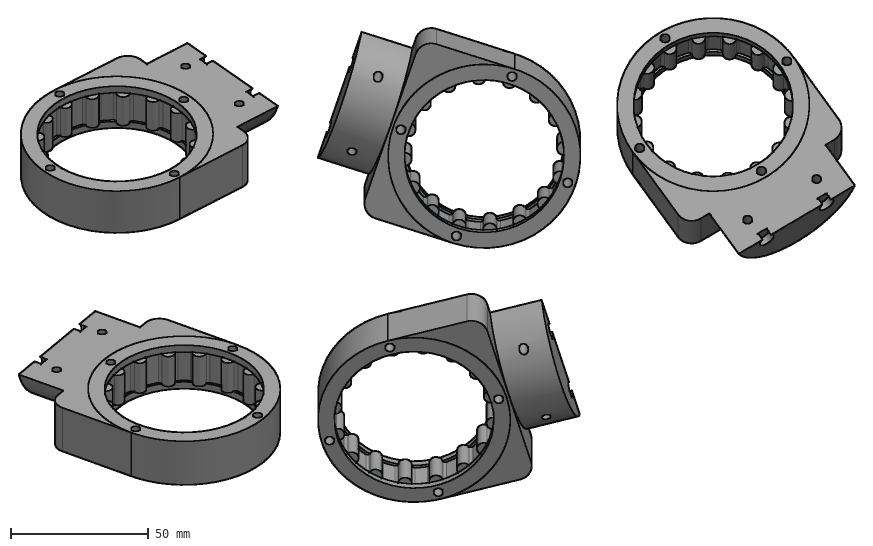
import cadquery as cq
import math

height = 19.0
ring_radius = 35.0

bore_radius = 29.0
groove_radius = 30.0
rim_height = 3.0
tooth_count = 16
tooth_radius = 2.5
tooth_root_fillet = 1.0
ring_hole_count = 4
ring_hole_diameter = 3.4
ring_hole_circle_radius = 32.0

block_width = 70.01
block_back_y = 36.0
block_corner_radius = 6.0

tab_back_y = 55.5
tab_radius = 26.5
tab_axis_above_top = 7.9
tab_axis_z = height + tab_axis_above_top

tab_hole_diameter = 3.3
tab_hole_spacing = 30.0
tab_hole_y = (block_back_y + tab_back_y) / 2
pocket_diameter = 6.0
pocket_depth = 3.0
pocket_spacing = 26.0
pocket_opening_width = 3.6
pocket_axis_drop = math.sqrt((pocket_diameter / 2) ** 2 - (pocket_opening_width / 2) ** 2)


def make_toothed_opening():
    """Space inside the ring between its two rims, with round teeth left standing."""
    tooth_height = height - 2 * rim_height
    opening = cq.Workplane("XY").workplane(offset=rim_height).circle(groove_radius).extrude(tooth_height)
    teeth = (
        cq.Workplane("XY")
        .workplane(offset=rim_height)
        .polarArray(bore_radius, 0, 360, tooth_count)
        .circle(tooth_radius)
        .extrude(tooth_height)
    )
    return opening.cut(teeth).edges("|Z").fillet(tooth_root_fillet)


def make_ring():
    """Ring with a plain rim at each end and a toothed groove between them."""
    rim = cq.Workplane("XY").circle(ring_radius).circle(bore_radius).extrude(rim_height)
    middle = (
        cq.Workplane("XY")
        .workplane(offset=rim_height)
        .circle(ring_radius)
        .extrude(height - 2 * rim_height)
        .cut(make_toothed_opening())
    )
    screw_holes = (
        cq.Workplane("XY")
        .polarArray(ring_hole_circle_radius, 0, 360, ring_hole_count)
        .circle(ring_hole_diameter / 2)
        .extrude(height)
    )
    upper_rim = rim.translate((0, 0, height - rim_height))
    return middle.union(rim).union(upper_rim).cut(screw_holes)


def make_block():
    """Block with rounded back corners, running forward to the ring's centre line."""
    return (
        cq.Workplane("XY")
        .rect(block_width, 2 * block_back_y)
        .extrude(height)
        .edges("|Z and >Y")
        .fillet(block_corner_radius)
        .intersect(cq.Workplane("XY").box(block_width, block_back_y, height, centered=(True, False, False)))
    )


def make_tab():
    """Tab with a flat top and a round underside."""
    half_width = math.sqrt(tab_radius**2 - tab_axis_above_top**2)
    return (
        cq.Workplane("XZ", origin=(0, tab_back_y, 0))
        .moveTo(-half_width, height)
        .threePointArc((0, tab_axis_z - tab_radius), (half_width, height))
        .close()
        .extrude(tab_back_y - block_back_y)
    )


def make_bracket():
    """Block and tab, hollowed to fit around the ring and drilled."""
    ring_seat = cq.Workplane("XY").circle(ring_radius).extrude(height)
    tab_holes = (
        cq.Workplane("XY", origin=(0, tab_hole_y, 0))
        .rarray(tab_hole_spacing, 1, 2, 1)
        .circle(tab_hole_diameter / 2)
        .extrude(height)
    )
    pockets = (
        cq.Workplane("XZ", origin=(0, tab_back_y, height - pocket_axis_drop))
        .rarray(pocket_spacing, 1, 2, 1)
        .circle(pocket_diameter / 2)
        .extrude(pocket_depth)
    )
    return make_block().union(make_tab()).cut(ring_seat).cut(tab_holes).cut(pockets)


ring = make_ring().solids()
bracket = make_bracket().solids()

result = cq.Compound.makeCompound([ring.val(), bracket.val()])